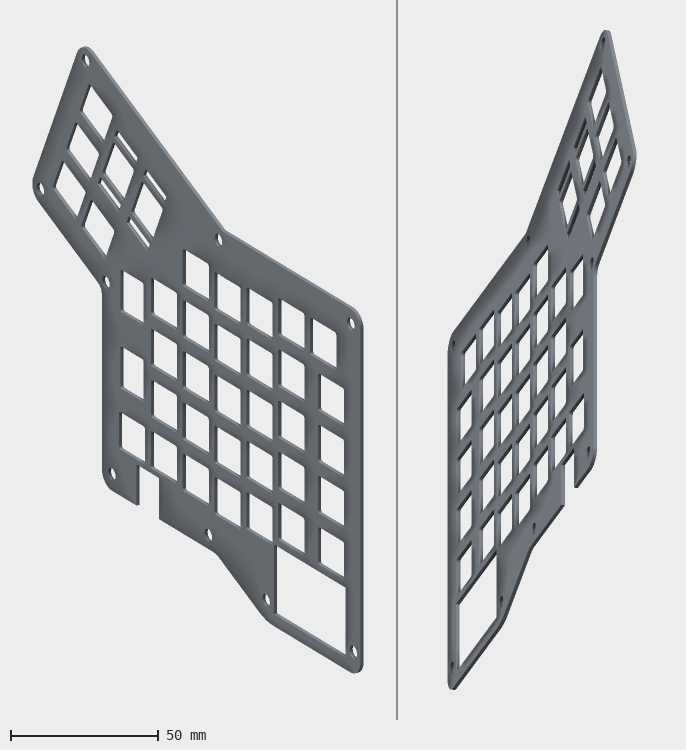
import cadquery as cq
import math

length = 196.5
height = 173.0
thickness = 1.3

key_pitch = 19.0
window_long = 15.7
window_short = 14.0
window_corner = 1.0

right_edge = length / 2
plate_top = height / 2
bottom_edge = -height / 2
left_edge = -56.6
block_top = 49.1
step_edge = -72.5
slope_start_x = 11.8
corner_radius = 6.0
neck_radius = 4.1
step_radius = 9.8
slope_foot_radius = 18.7

tilt = math.radians(25)
cluster_margin = 18.0
cluster_height = 74.3
tall_key_rise = 1.5 * key_pitch
slot_length = 13.8
slot_width = 3.5
slot_shift = -0.4
slot_offset = 11.8

inner_column_x = -38.5
inner_row_z = -48.3
side_row_z = -49.5
middle_row_z = -51.1
outer_row_z = -46.4
outer_column_steps = 6.25
tall_key_steps = (1.25, 2.75)
key_columns = [
    (inner_column_x, inner_row_z, 1),
    (inner_column_x + key_pitch, inner_row_z, 4),
    (inner_column_x + 2 * key_pitch, side_row_z, 5),
    (inner_column_x + 3 * key_pitch, middle_row_z, 5),
    (inner_column_x + 4 * key_pitch, side_row_z, 5),
    (inner_column_x + 5 * key_pitch, outer_row_z, 5),
    (inner_column_x + outer_column_steps * key_pitch, outer_row_z, 4),
    (inner_column_x + 6 * key_pitch, outer_row_z + 4 * key_pitch, 1),
]

display_length = 42.8
display_height = 26.0
display_center = (67.8, -69.0)
notch_width = 13.5
notch_x = -29.0
notch_top = -57.2

hole_diameter = 4.5
cluster_hole_inset = 5.1
block_holes = [
    (13.2, 44.8),
    (92.4, 43.5),
    (-54.2, 3.7),
    (-50.7, -66.5),
    (7.0, -67.5),
    (41.7, -78.6),
    (94.0, -78.2),
]

arc_spacing = cluster_height - 2 * corner_radius
arc_center_x = -length / 2 + corner_radius
arc_center_z = plate_top - corner_radius - arc_spacing * math.cos(tilt)


def cluster_point(across, up):
    """Plate position of a point given along the cluster's own axes from its lower left key."""
    across += cluster_margin - corner_radius
    up += cluster_margin - corner_radius
    x = arc_center_x + across * math.cos(tilt) + up * math.sin(tilt)
    z = arc_center_z - across * math.sin(tilt) + up * math.cos(tilt)
    return x, z


def rounded_outline(corners):
    """Closed wire through (point, radius) corners, each rounded by a tangent arc."""
    rounds = []
    for i, ((x, z), radius) in enumerate(corners):
        corner = cq.Vector(x, z)
        before = (cq.Vector(*corners[i - 1][0]) - corner).normalized()
        after = (cq.Vector(*corners[(i + 1) % len(corners)][0]) - corner).normalized()
        half_angle = before.getAngle(after) / 2
        setback = radius / math.tan(half_angle)
        apex = radius / math.sin(half_angle) - radius
        middle = corner + (before + after).normalized() * apex
        rounds.append((radius, corner + before * setback, middle, corner + after * setback))
    outline = cq.Workplane("XZ").moveTo(*rounds[0][3].toTuple()[:2])
    for radius, start, middle, end in rounds[1:] + rounds[:1]:
        outline = outline.lineTo(start.x, start.y)
        if radius > 0:
            outline = outline.threePointArc((middle.x, middle.y), (end.x, end.y))
    return outline.close()


def plate_blank():
    lower_left = cluster_point(-cluster_margin, -cluster_margin)
    upper_left = cluster_point(-cluster_margin, cluster_height - cluster_margin)
    neck_z = lower_left[1] - (left_edge - lower_left[0]) * math.tan(tilt)
    shoulder_x = upper_left[0] + (upper_left[1] - block_top) / math.tan(tilt)
    slope_end_x = slope_start_x + (step_edge - bottom_edge) / math.tan(tilt)
    corners = [
        (lower_left, corner_radius),
        (upper_left, corner_radius),
        ((shoulder_x, block_top), 0),
        ((right_edge, block_top), corner_radius),
        ((right_edge, bottom_edge), corner_radius),
        ((slope_end_x, bottom_edge), slope_foot_radius),
        ((slope_start_x, step_edge), step_radius),
        ((left_edge, step_edge), corner_radius),
        ((left_edge, neck_z), neck_radius),
    ]
    return rounded_outline(corners).extrude(thickness / 2, both=True)


def box_cutter(center, size_x, size_z, corner=0, angle=0):
    """Through cutter for a rectangular opening, turned clockwise by angle."""
    cutter = cq.Workplane("XY").box(size_x, 2 * thickness, size_z)
    if corner > 0:
        cutter = cutter.edges("|Y").fillet(corner)
    cutter = cutter.rotate((0, 0, 0), (0, 1, 0), math.degrees(angle))
    return cutter.translate((center[0], 0, center[1]))


def wide_key(center, angle=0):
    return box_cutter(center, window_long, window_short, window_corner, angle)


def tall_key(center, angle=0):
    return box_cutter(center, window_short, window_long, window_corner, angle)


def main_key_cutters():
    cutters = []
    for x, lowest_z, count in key_columns:
        cutters += [wide_key((x, lowest_z + row * key_pitch)) for row in range(count)]
    for steps in tall_key_steps:
        cutters.append(tall_key((inner_column_x, inner_row_z + steps * key_pitch)))
    return cutters


def cluster_cutters():
    cutters = []
    for column, row in [(0, 0), (0, 1), (0, 2), (1, 0)]:
        cutters.append(wide_key(cluster_point(column * key_pitch, row * key_pitch), tilt))
    for column in (1, 2):
        across = column * key_pitch
        cutters.append(tall_key(cluster_point(across, tall_key_rise), tilt))
        for side in (-1, 1):
            center = cluster_point(across + slot_shift, tall_key_rise + side * slot_offset)
            cutters.append(box_cutter(center, slot_length, slot_width, angle=tilt))
    return cutters


def hole_cutter():
    inset = cluster_hole_inset - cluster_margin
    cluster_holes = [
        cluster_point(inset, inset),
        cluster_point(inset, cluster_height - cluster_margin - cluster_hole_inset),
    ]
    holes = cq.Workplane("XZ").pushPoints(block_holes + cluster_holes)
    return holes.circle(hole_diameter / 2).extrude(thickness, both=True)


def notch_cutter():
    center_z = (notch_top + bottom_edge) / 2
    return box_cutter((notch_x, center_z), notch_width, notch_top - bottom_edge)


result = plate_blank()
for opening in main_key_cutters() + cluster_cutters():
    result = result.cut(opening)
result = result.cut(box_cutter(display_center, display_length, display_height))
result = result.cut(notch_cutter())
result = result.cut(hole_cutter())